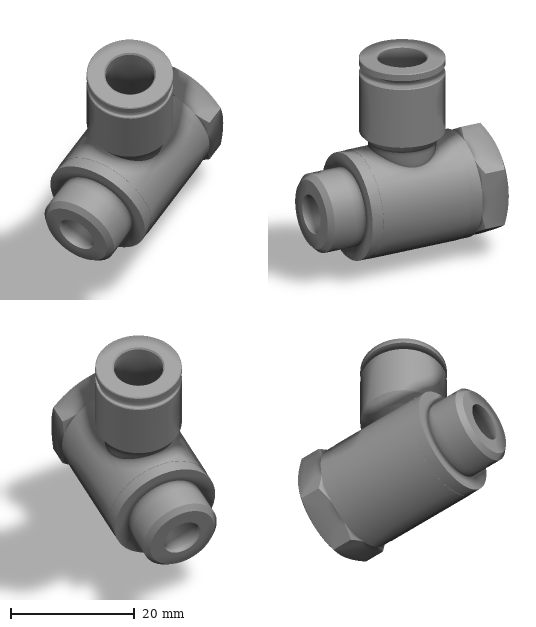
import cadquery as cq

SLEEVE_DIAMETER = 18.0
SLEEVE_LENGTH = 16.0
COLLAR_DIAMETER = 17.9
BODY_LENGTH = 20.0

STUD_DIAMETER = 13.15
STUD_END_Y = -16.5
STUD_CHAMFER = 0.85

OVERALL_HEIGHT = 34.3
HEX_SIDES = 6
HEX_CORNER_DIAMETER = 19.63
HEX_END_Y = 15.0
HEX_FACE_DIAMETER = 17.0
HEX_CHAMFER_LENGTH = 0.75

PORT_TOP_Z = OVERALL_HEIGHT - HEX_CORNER_DIAMETER / 2
PORT_DIAMETER = 14.0
RELEASE_RING_THICKNESS = 1.2
RELEASE_NECK_DIAMETER = 9.2
RELEASE_NECK_LENGTH = 1.45
PORT_BARREL_LENGTH = 10.35
PORT_CONE_LENGTH = 1.58
PORT_NECK_DIAMETER = 11.0
PORT_EDGE_CHAMFER = 0.15

BORE_DIAMETER = 6.5
TUBE_DIAMETER = 8.0
TUBE_SEAT_Z = 10.02
TUBE_ENTRY_CHAMFER = 0.25


def cylinder_along_y(diameter, start_y, end_y):
    """Cylinder on the Y axis between two Y positions."""
    plane = cq.Workplane("XZ", origin=(0, start_y, 0))
    return plane.circle(diameter / 2).extrude(start_y - end_y)


def cylinder_along_z(diameter, bottom_z, top_z):
    """Cylinder on the Z axis between two Z positions."""
    plane = cq.Workplane("XY", origin=(0, 0, bottom_z))
    return plane.circle(diameter / 2).extrude(top_z - bottom_z)


def main_body():
    """Sleeve between two slightly smaller collars."""
    collars = cylinder_along_y(COLLAR_DIAMETER, -BODY_LENGTH / 2, BODY_LENGTH / 2)
    sleeve = cylinder_along_y(SLEEVE_DIAMETER, -SLEEVE_LENGTH / 2, SLEEVE_LENGTH / 2)
    return collars.union(sleeve)


def stud():
    """Plain stud with a chamfered end."""
    blank = cylinder_along_y(STUD_DIAMETER, STUD_END_Y, 0)
    return blank.faces("<Y").chamfer(STUD_CHAMFER)


def hex_head():
    """Hexagon with corners up and down, rounded off by a cone at both ends."""
    start_y = BODY_LENGTH / 2
    face_radius = HEX_FACE_DIAMETER / 2
    corner_radius = HEX_CORNER_DIAMETER / 2
    hexagon = (
        cq.Workplane("XZ", origin=(0, start_y, 0))
        .transformed(rotate=(0, 0, 90))
        .polygon(HEX_SIDES, HEX_CORNER_DIAMETER)
        .extrude(start_y - HEX_END_Y)
    )
    envelope = (
        cq.Workplane("XY")
        .moveTo(0, start_y)
        .lineTo(face_radius, start_y)
        .lineTo(corner_radius, start_y + HEX_CHAMFER_LENGTH)
        .lineTo(corner_radius, HEX_END_Y - HEX_CHAMFER_LENGTH)
        .lineTo(face_radius, HEX_END_Y)
        .lineTo(0, HEX_END_Y)
        .close()
        .revolve(360, (0, 0, 0), (0, 1, 0))
    )
    return hexagon.intersect(envelope)


def tube_port():
    """Neck, cone and barrel, topped by the release ring on its thinner neck."""
    ring_bottom_z = PORT_TOP_Z - RELEASE_RING_THICKNESS
    barrel_top_z = ring_bottom_z - RELEASE_NECK_LENGTH
    barrel_bottom_z = barrel_top_z - PORT_BARREL_LENGTH
    cone_bottom_z = barrel_bottom_z - PORT_CONE_LENGTH

    neck = cylinder_along_z(PORT_NECK_DIAMETER, 0, cone_bottom_z)
    cone = (
        cq.Workplane("XY", origin=(0, 0, cone_bottom_z))
        .circle(PORT_NECK_DIAMETER / 2)
        .workplane(offset=PORT_CONE_LENGTH)
        .circle(PORT_DIAMETER / 2)
        .loft(ruled=True)
    )
    barrel = cylinder_along_z(PORT_DIAMETER, barrel_bottom_z, barrel_top_z)
    barrel = barrel.faces(">Z").chamfer(PORT_EDGE_CHAMFER)
    release_neck = cylinder_along_z(RELEASE_NECK_DIAMETER, barrel_bottom_z, PORT_TOP_Z)
    ring = cylinder_along_z(PORT_DIAMETER, ring_bottom_z, PORT_TOP_Z)
    ring = ring.faces(">Z").chamfer(PORT_EDGE_CHAMFER)
    return neck.union(cone).union(barrel).union(release_neck).union(ring)


def flow_passage():
    """Two equal bores meeting in a ball-shaped elbow, with a wider tube socket above."""
    stud_bore = cylinder_along_y(BORE_DIAMETER, STUD_END_Y, 0)
    port_bore = cylinder_along_z(BORE_DIAMETER, 0, TUBE_SEAT_Z)
    elbow = cq.Workplane("XY").sphere(BORE_DIAMETER / 2)
    socket = cylinder_along_z(TUBE_DIAMETER, TUBE_SEAT_Z, PORT_TOP_Z)
    entry = (
        cq.Workplane("XY", origin=(0, 0, PORT_TOP_Z - TUBE_ENTRY_CHAMFER))
        .circle(TUBE_DIAMETER / 2)
        .workplane(offset=TUBE_ENTRY_CHAMFER)
        .circle(TUBE_DIAMETER / 2 + TUBE_ENTRY_CHAMFER)
        .loft(ruled=True)
    )
    return stud_bore.union(port_bore).union(elbow).union(socket).union(entry)


result = main_body().union(stud()).union(hex_head()).union(tube_port()).cut(flow_passage())